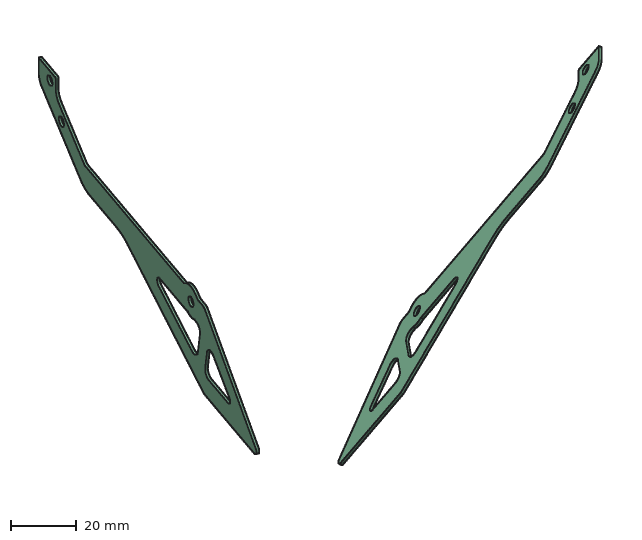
import cadquery as cq
import math

thickness = 1.0
length = 145.69
height = 53.51

tab_width = 11.5
arm_angle = math.radians(34.6)
arm_upper_tab_z = 46.5
arm_lower_tab_z = 45.1
tab_tip_radius = 0.5
tab_inner_radius = 5.0
tab_outer_radius = 5.0
arm_upper_radius = 1.0
arm_lower_radius = 10.0

bar_top = 33.2
bar_width = 9.25
bar_bottom = bar_top - bar_width

taper_angle = math.radians(23.65)
foot_start = 110.6
taper_radius = 20.0
foot_radius = 1.0
front_angle = math.radians(41.5)
nose_radius = 1.5
blade_top_radius = 3.0

hole_diameter = 3.4
boss_center = (101.8, 29.3)
boss_radius = 5.8
boss_blend_radius = 2.0
tab_hole = (7.5, 49.75)
arm_hole = (15.2, 39.3)

taper_margin = 6.75
foot_margin = 7.45
web_width = 5.3
web_lean = math.radians(10.0)
web_foot_x = 106.8
front_window_angle = math.radians(39.5)
front_window_tip_x = 130.5
rear_tip_radius = 1.7
rear_top_radius = 2.5
rear_bottom_radius = 3.0
front_bottom_radius = 2.5
front_top_radius = 2.7
front_tip_radius = 1.4


def taper_x(z, inset=0.0):
    """X of the taper edge, or of a line parallel to it and inset into the blade."""
    return foot_start - z / math.tan(taper_angle) + inset / math.sin(taper_angle)


def front_x(z):
    """X of the front edge, placed so that the rounded nose ends at the full length."""
    nose_center_x = length - nose_radius
    foot_end = nose_center_x + nose_radius / math.tan(front_angle / 2)
    return foot_end - z / math.tan(front_angle)


def web_x(z, offset):
    """X on a line parallel to the leaning web's centreline, offset square to it."""
    return web_foot_x + z * math.tan(web_lean) + offset / math.cos(web_lean)


def crossing_z(line_a, line_b):
    """Z where two straight lines, each given as x(z), cross."""
    gap = line_a(0) - line_b(0)
    gap_change = line_a(1) - line_b(1) - gap
    return -gap / gap_change


def toward(start, end, distance):
    """Point at a distance from start on the way to end."""
    share = distance / math.dist(start, end)
    return tuple(s + share * (e - s) for s, e in zip(start, end))


def rounded_plate(corners):
    """Plate from (x, z, radius) corners; each nonzero radius rounds its corner with a tangent arc."""
    outline = None
    for index, (x, z, radius) in enumerate(corners):
        corner = (x, z)
        before = corners[index - 1][:2]
        after = corners[(index + 1) % len(corners)][:2]
        heading_before = math.atan2(before[1] - z, before[0] - x)
        heading_after = math.atan2(after[1] - z, after[0] - x)
        half_angle = abs(math.remainder(heading_before - heading_after, math.tau)) / 2
        setback = radius / math.tan(half_angle)
        arc_start = toward(corner, before, setback)
        arc_end = toward(corner, after, setback)
        if outline is None:
            outline = cq.Workplane("XZ").moveTo(*arc_start)
        else:
            outline = outline.lineTo(*arc_start)
        if radius:
            chord_middle = toward(arc_start, arc_end, math.dist(arc_start, arc_end) / 2)
            arc_depth = radius / math.sin(half_angle) - radius
            outline = outline.threePointArc(toward(corner, chord_middle, arc_depth), arc_end)
    return outline.close().extrude(-thickness)


def disc(center, radius):
    return cq.Workplane("XZ").center(*center).circle(radius).extrude(-thickness)


def body():
    """Tab, sloping arm, bar and blade in one outline, without openings."""
    arm_slope = math.tan(arm_angle)
    upper_bend_x = tab_width + (arm_upper_tab_z - bar_top) / arm_slope
    lower_bend_x = (arm_lower_tab_z - bar_bottom) / arm_slope
    return rounded_plate([
        (0, height, 0),
        (tab_width, height, tab_tip_radius),
        (tab_width, arm_upper_tab_z, tab_inner_radius),
        (upper_bend_x, bar_top, arm_upper_radius),
        (front_x(bar_top), bar_top, blade_top_radius),
        (front_x(0), 0, nose_radius),
        (foot_start, 0, foot_radius),
        (taper_x(bar_bottom), bar_bottom, taper_radius),
        (lower_bend_x, bar_bottom, arm_lower_radius),
        (0, arm_lower_tab_z, tab_outer_radius),
    ])


def rear_window():
    """Triangular opening between the taper edge, the bar and the leaning web."""
    def lower_edge(z):
        return taper_x(z, taper_margin)

    def web_edge(z):
        return web_x(z, -web_width / 2)

    bottom = crossing_z(lower_edge, web_edge)
    return rounded_plate([
        (lower_edge(bar_bottom), bar_bottom, rear_tip_radius),
        (web_edge(bar_bottom), bar_bottom, rear_top_radius),
        (web_edge(bottom), bottom, rear_bottom_radius),
    ])


def front_window():
    """Triangular opening between the leaning web, the foot and the front edge."""
    def upper_edge(z):
        return front_window_tip_x - (z - foot_margin) / math.tan(front_window_angle)

    def web_edge(z):
        return web_x(z, web_width / 2)

    top = crossing_z(upper_edge, web_edge)
    return rounded_plate([
        (web_edge(foot_margin), foot_margin, front_bottom_radius),
        (web_edge(top), top, front_top_radius),
        (front_window_tip_x, foot_margin, front_tip_radius),
    ])


def boss():
    """Disc around the boss hole, blended into the bar's top edge on both sides."""
    center_x, center_z = boss_center
    blend_z = bar_top + boss_blend_radius
    reach = boss_radius + boss_blend_radius
    blend_dx = math.sqrt(reach**2 - (blend_z - center_z)**2)
    shoulder = (
        cq.Workplane("XZ")
        .moveTo(center_x - blend_dx, center_z)
        .lineTo(center_x + blend_dx, center_z)
        .lineTo(center_x + blend_dx, blend_z)
        .lineTo(center_x, center_z)
        .lineTo(center_x - blend_dx, blend_z)
        .close()
        .extrude(-thickness)
    )
    for side in (-1, 1):
        shoulder = shoulder.cut(disc((center_x + side * blend_dx, blend_z), boss_blend_radius))
    return disc(boss_center, boss_radius).union(shoulder)


result = body().cut(rear_window()).cut(front_window()).union(boss())
for hole_center in (tab_hole, arm_hole, boss_center):
    result = result.cut(disc(hole_center, hole_diameter / 2))